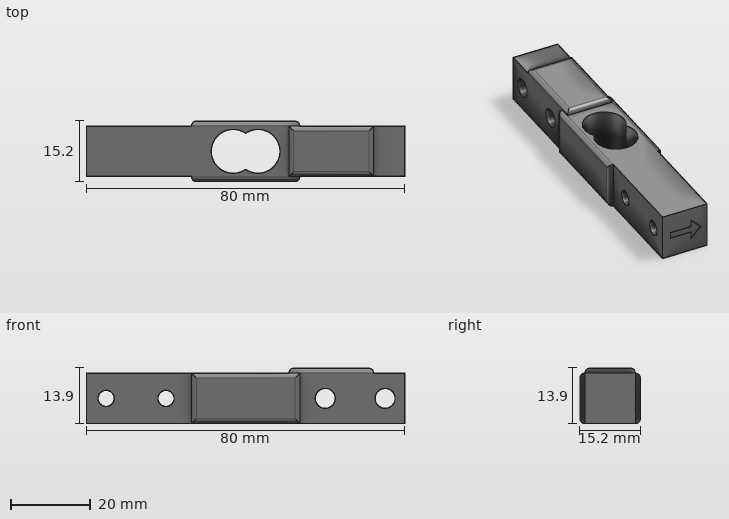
import cadquery as cq

beam_length = 80
beam_side = 12.6
mid_x = beam_length / 2
mid_z = beam_side / 2

pad_thickness = 1.3
pad_rounding = 1.2
side_pad_length = 27.2
top_pad_start = 50.9
top_pad_length = 21.3

end_offset = 5.0
hole_spacing = 15.0
small_hole_diameter = 4
large_hole_diameter = 5.0

bore_diameter = 11.0
bore_spacing = 6.2

arrow_tail_y = 4.1
arrow_neck_y = -1.8
arrow_tip_y = -4.6
arrow_shaft_width = 1.7
arrow_head_width = 5.6
arrow_depth = 0.1


def pad(length):
    """Pad lying on the XY plane, rounded around its upper face."""
    block = cq.Workplane("XY").box(length, beam_side, pad_thickness, centered=(True, True, False))
    return block.faces(">Z").edges().fillet(pad_rounding)


def top_pad():
    center_x = top_pad_start + top_pad_length / 2
    return pad(top_pad_length).translate((center_x, 0, beam_side))


def side_pad(direction):
    """Pad on the +Y (direction 1) or -Y (direction -1) side of the beam."""
    upright = pad(side_pad_length).rotate((0, 0, 0), (1, 0, 0), -90 * direction)
    return upright.translate((mid_x, direction * beam_side / 2, mid_z))


def cross_holes(diameter, positions):
    """Cylinders along Y through the middle height of the beam."""
    points = [(x, mid_z) for x in positions]
    return cq.Workplane("XZ").pushPoints(points).circle(diameter / 2).extrude(beam_side, both=True)


def twin_bore():
    cutter = cq.Workplane("XY")
    for side in (-1, 1):
        bore = cq.Workplane("XY").center(mid_x + side * bore_spacing / 2, 0)
        cutter = cutter.add(bore.circle(bore_diameter / 2).extrude(beam_side))
    return cutter.combine()


def arrow():
    half_shaft = arrow_shaft_width / 2
    half_head = arrow_head_width / 2
    outline = [
        (arrow_tail_y, mid_z - half_shaft),
        (arrow_tail_y, mid_z + half_shaft),
        (arrow_neck_y, mid_z + half_shaft),
        (arrow_neck_y, mid_z + half_head),
        (arrow_tip_y, mid_z),
        (arrow_neck_y, mid_z - half_head),
        (arrow_neck_y, mid_z - half_shaft),
    ]
    return cq.Workplane("YZ").polyline(outline).close().extrude(arrow_depth)


result = cq.Workplane("XY").box(beam_length, beam_side, beam_side, centered=(False, True, False))
result = result.union(top_pad()).union(side_pad(1)).union(side_pad(-1))

near_holes = [end_offset, end_offset + hole_spacing]
far_holes = [beam_length - x for x in near_holes]
result = result.cut(cross_holes(small_hole_diameter, near_holes))
result = result.cut(cross_holes(large_hole_diameter, far_holes))
result = result.cut(twin_bore())
result = result.cut(arrow())